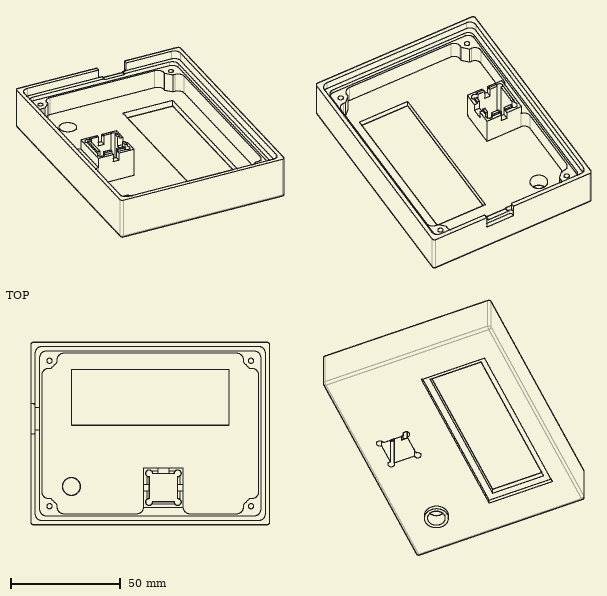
import cadquery as cq

body_length = 108.7
body_width = 83.2
body_height = 20.2
outer_radius = 1.2

rim_wall = 2.0
ledge_wall = 4.0
deep_wall = 5.0
cavity_radius = 3.0
upper_ledge_depth = 4.0
lower_ledge_step = 2.0
cavity_depth = 15.0
upper_ledge_z = body_height - upper_ledge_depth
lower_ledge_z = upper_ledge_z - lower_ledge_step
floor_z = body_height - cavity_depth

post_inset = 12.0
post_chamfer = 2.8
screw_inset = 8.5
screw_diameter = 2.4
screw_depth = 6.0

window_length = 71.5
window_width = 25.2
window_y = 16.4
window_recess_margin = 3.0
window_rim_thickness = 3.0

boss_x = -35.9
boss_y = -24.1
boss_diameter = 11.0
boss_height = 2.0
boss_hole_diameter = 8.0

housing_x = 6.0
housing_y = -24.7
housing_size = 18.0
housing_height = 13.9
housing_top_z = floor_z + housing_height
housing_hole = 12.7
lip_size = 15.0
lip_height = 1.0
lip_top_z = housing_top_z + lip_height
relief_spacing = 13.0
relief_diameter = 3.0
side_slot_width = 2.8
back_slot_width = 4.9
slot_depth = 3.8
slot_z = housing_top_z - slot_depth

notch_y = 6.6
notch_width = 13.9
notch_depth = 6.5
notch_radius = 1.0
groove_width = 10.2
groove_depth = 0.5

CORNER_SIGNS = [(x, y) for x in (-1, 1) for y in (-1, 1)]


def block(length, width, bottom, top, x=0.0, y=0.0):
    """Box centred on (x, y) between two levels."""
    return (
        cq.Workplane("XY")
        .box(length, width, top - bottom, centered=(True, True, False))
        .translate((x, y, bottom))
    )


def cylinder(diameter, bottom, top, x, y):
    """Upright cylinder between two levels."""
    return cq.Workplane("XY", origin=(x, y, bottom)).circle(diameter / 2).extrude(top - bottom)


def cavity(x_wall, y_wall, bottom, top):
    """Rounded rectangular pocket kept at the given distances from the outer faces."""
    pocket = block(body_length - 2 * x_wall, body_width - 2 * y_wall, bottom, top)
    return pocket.edges("|Z").fillet(cavity_radius)


def outer_body():
    body = block(body_length, body_width, 0, body_height)
    return body.edges("|Z or <Z").fillet(outer_radius)


def deep_cavity():
    """Cross-shaped pocket that leaves a post in each corner, its inner edge cut off flat."""
    pocket = cavity(deep_wall, post_inset, floor_z, lower_ledge_z)
    pocket = pocket.union(cavity(post_inset, deep_wall, floor_z, lower_ledge_z))
    for side_x, side_y in CORNER_SIGNS:
        post_x = side_x * (body_length / 2 - post_inset)
        post_y = side_y * (body_width / 2 - post_inset)
        edge_cut = (
            cq.Workplane("XY", origin=(post_x, post_y, floor_z))
            .polyline([(0, 0), (side_x * post_chamfer, 0), (0, side_y * post_chamfer)])
            .close()
            .extrude(lower_ledge_z - floor_z)
        )
        pocket = pocket.union(edge_cut)
    return pocket


def screw_holes():
    places = [
        (x * (body_length / 2 - screw_inset), y * (body_width / 2 - screw_inset))
        for x, y in CORNER_SIGNS
    ]
    return (
        cq.Workplane("XY", origin=(0, 0, lower_ledge_z))
        .pushPoints(places)
        .circle(screw_diameter / 2)
        .extrude(-screw_depth)
    )


def window():
    opening = block(window_length, window_width, 0, floor_z, y=window_y)
    recess = block(
        window_length + 2 * window_recess_margin,
        window_width + 2 * window_recess_margin,
        0,
        floor_z - window_rim_thickness,
        y=window_y,
    )
    return opening.union(recess)


def housing():
    """Square housing with a narrower raised lip around its opening."""
    base = block(housing_size, housing_size, floor_z, housing_top_z, housing_x, housing_y)
    lip = block(lip_size, lip_size, housing_top_z, lip_top_z, housing_x, housing_y)
    return base.union(lip)


def housing_bridge():
    """Lower block joining the housing to the -Y wall, flared into the wall by two arcs."""
    wall_y = deep_wall - body_width / 2
    half = housing_size / 2
    flare = half + cavity_radius
    return (
        cq.Workplane("XY", origin=(housing_x, 0, floor_z))
        .moveTo(-half, housing_y)
        .lineTo(-half, wall_y + cavity_radius)
        .radiusArc((-flare, wall_y), cavity_radius)
        .lineTo(flare, wall_y)
        .radiusArc((half, wall_y + cavity_radius), cavity_radius)
        .lineTo(half, housing_y)
        .close()
        .extrude(lower_ledge_z - floor_z)
    )


def housing_cutout():
    """Switch opening with round corner reliefs and three slots."""
    cutout = block(housing_hole, housing_hole, 0, lip_top_z, housing_x, housing_y)
    for side_x, side_y in CORNER_SIGNS:
        relief_x = housing_x + side_x * relief_spacing / 2
        relief_y = housing_y + side_y * relief_spacing / 2
        cutout = cutout.union(cylinder(relief_diameter, 0, lip_top_z, relief_x, relief_y))
    side_slots = block(housing_size, side_slot_width, slot_z, lip_top_z, housing_x, housing_y)
    back_slot = block(
        back_slot_width,
        housing_size / 2,
        slot_z,
        lip_top_z,
        housing_x,
        housing_y + housing_size / 4,
    )
    return cutout.union(side_slots).union(back_slot)


def connector_notch():
    """Rim opening, a pocket with rounded inner corners below it and a shallow groove in the ledge."""
    wall_x = -body_length / 2
    rim_opening = block(
        rim_wall, notch_width, upper_ledge_z, body_height, wall_x + rim_wall / 2, notch_y
    )
    pocket = block(
        rim_wall,
        notch_width,
        body_height - notch_depth,
        upper_ledge_z,
        wall_x + rim_wall / 2,
        notch_y,
    )
    pocket = pocket.edges("|Z and >X").fillet(notch_radius)
    groove = block(
        ledge_wall,
        groove_width,
        upper_ledge_z - groove_depth,
        upper_ledge_z,
        wall_x + ledge_wall / 2,
        notch_y,
    )
    return rim_opening.union(pocket).union(groove)


result = (
    outer_body()
    .cut(cavity(rim_wall, rim_wall, upper_ledge_z, body_height))
    .cut(cavity(ledge_wall, ledge_wall, lower_ledge_z, upper_ledge_z))
    .cut(deep_cavity())
    .cut(screw_holes())
    .cut(window())
    .union(housing_bridge())
    .union(housing())
    .cut(housing_cutout())
    .union(cylinder(boss_diameter, -boss_height, floor_z, boss_x, boss_y))
    .cut(cylinder(boss_hole_diameter, -boss_height, floor_z, boss_x, boss_y))
    .cut(connector_notch())
)